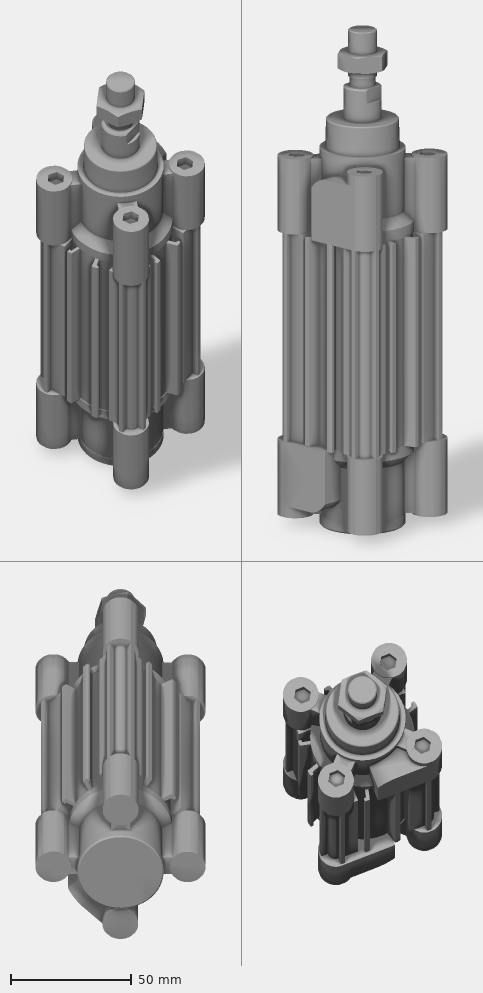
import cadquery as cq
import math


half_width = 27.0
total_height = 213.0
rear_collar_height = 4.5
cover_height = 32.4
tube_length = 89.9
tube_bottom = rear_collar_height + cover_height
tube_top = tube_bottom + tube_length
head_top = tube_top + cover_height

core_radius = 17.7
ring_radius = 21.7
ring_height = 4.7
cone_height = 4.0
collar_radius = 17.9
collar_chamfer = 0.6
boss_radius = 7.5
boss_flat_depth = 0.1
boss_flat = boss_radius - boss_flat_depth
boss_offset = half_width - boss_flat
web_half_width = 4.0
web_fillet = 0.6
web_drop = 0.9
lug_end = 3.8
lug_drop = 5.0
lug_rounding_width = 9.0
lug_rounding_radius = 10.6

head_collar_height = 3.2
cap_top = 174.9
cap_base_radius = 15.5
cap_top_radius = 15.1
cap_rounding = 0.6

screw_offset = 19.2
screw_radius = 4.5
socket_width = 6.4
socket_depth = 4.3

barrel_radius = 21.3
tube_half_width = 26.5
lug_face = 23.9
lug_inner = 11.5
ridge_inner = 18.3
ridge_outer = 20.2
lug_round_radius = 3.5

long_hook_outline = [(20.2, 2.3), (26.2, 4.3), (26.2, 5.5), (25.8, 6.8), (24.7, 6.8), (24.5, 5.5), (20.2, 4.0)]
short_hook_outline = [(20.2, -5.5), (25.3, -6.8), (25.3, -9.0), (23.9, -9.0), (23.9, -7.9), (20.2, -7.0)]

rod_diameter = 16.0
rod_radius = rod_diameter / 2
rod_shoulder = 189.0
rod_chamfer = 0.6
flats_width = 13.0
flats_bottom = 183.0
neck_radius = 5.3
thread_radius = 6.0
thread_bottom = 193.0
thread_chamfer = 0.5

nut_width = 19.0
nut_bottom = 196.2
nut_height = 7.2
nut_corner_drop = 0.6


def at_corners(offset):
    """The four corner points at the given distance from both centre planes."""
    return [(sx * offset, sy * offset) for sx in (-1, 1) for sy in (-1, 1)]


def hexagon(width):
    """Diameter over the corners of a hexagon with the given width across flats."""
    return width / math.cos(math.pi / 6)


def cover_boss():
    """Screw boss on the +X +Y diagonal, with small flats on its square sides and beside the web."""
    square_sides = cq.Workplane("XY").rect(2 * boss_flat, 2 * boss_flat).extrude(cover_height)
    web_sides = (
        cq.Workplane("XY")
        .rect(4 * boss_radius, 2 * boss_flat)
        .extrude(cover_height)
        .rotate((0, 0, 0), (0, 0, 1), 45)
    )
    boss = cq.Workplane("XY").circle(boss_radius).extrude(cover_height)
    boss = boss.intersect(square_sides).intersect(web_sides)
    return boss.translate((boss_offset, boss_offset, 0))


def port_lug():
    """Lug between a boss and the middle of the +Y side, its inner end rounded over."""
    top = cover_height - lug_drop
    rounding_drop = lug_rounding_radius - math.sqrt(lug_rounding_radius**2 - lug_rounding_width**2)
    profile = (
        cq.Workplane("XZ")
        .moveTo(-boss_offset, 0)
        .lineTo(lug_end, 0)
        .lineTo(lug_end, top - rounding_drop)
        .radiusArc((lug_end - lug_rounding_width, top), -lug_rounding_radius)
        .lineTo(-boss_offset, top)
        .close()
        .extrude(-half_width)
    )
    plan = (
        cq.Workplane("XY")
        .polyline([
            (0, 0),
            (-boss_offset, boss_offset),
            (-boss_offset, half_width),
            (lug_end, half_width),
            (lug_end, 0),
        ])
        .close()
        .extrude(top)
    )
    return profile.intersect(plan)


def cover_body():
    """Part shared by both covers, with the tube side on the XY plane."""
    web_height = cover_height - web_drop
    web_length = 2 * math.sqrt(2) * boss_offset
    web = cq.Workplane("XY").rect(web_length, 2 * web_half_width).extrude(web_height)
    body = (
        cq.Workplane("XY")
        .circle(core_radius)
        .extrude(web_height)
        .union(web)
        .union(web.rotate((0, 0, 0), (0, 0, 1), 90))
        .edges("|Z")
        .fillet(web_fillet)
        .rotate((0, 0, 0), (0, 0, 1), 45)
    )

    core_end = cq.Workplane("XY").workplane(offset=web_height).circle(core_radius).extrude(web_drop)
    ring = cq.Workplane("XY").circle(ring_radius).extrude(ring_height + cone_height)
    ring = ring.faces(">Z").chamfer(cone_height, ring_radius - core_radius)
    body = body.union(core_end).union(ring)

    boss = cover_boss()
    for quarter in range(4):
        body = body.union(boss.rotate((0, 0, 0), (0, 0, 1), 90 * quarter))
    return body.union(port_lug())


def make_rear_cover():
    collar = (
        cq.Workplane("XY")
        .circle(collar_radius)
        .extrude(rear_collar_height)
        .faces("<Z")
        .chamfer(collar_chamfer)
    )
    body = cover_body().rotate((0, 0, 0), (0, 1, 0), 180)
    return body.translate((0, 0, tube_bottom)).union(collar)


def make_head_cover():
    collar = (
        cq.Workplane("XY")
        .workplane(offset=head_top)
        .circle(collar_radius)
        .extrude(head_collar_height)
    )
    cap = (
        cq.Workplane("XY")
        .workplane(offset=head_top + head_collar_height)
        .circle(cap_base_radius)
        .workplane(offset=cap_top - head_top - head_collar_height)
        .circle(cap_top_radius)
        .loft(ruled=True)
        .faces(">Z")
        .edges()
        .fillet(cap_rounding)
    )
    cover = cover_body().translate((0, 0, tube_top)).union(collar).union(cap)
    rod_bore = (
        cq.Workplane("XY")
        .workplane(offset=tube_top)
        .circle(rod_radius)
        .extrude(cap_top - tube_top)
    )
    screw_holes = (
        cq.Workplane("XY")
        .workplane(offset=tube_top)
        .pushPoints(at_corners(screw_offset))
        .circle(screw_radius)
        .extrude(cover_height)
    )
    return cover.cut(rod_bore).cut(screw_holes)


def make_tube():
    """Extruded barrel with a stepped, round-nosed lug in each corner and two slot hooks on each side."""
    round_edge = ridge_outer + lug_round_radius
    round_middle = ridge_outer + lug_round_radius * math.sin(math.pi / 4)
    corner_lug = (
        cq.Workplane("XY")
        .moveTo(lug_inner, lug_inner)
        .lineTo(lug_inner, lug_face)
        .lineTo(ridge_inner, lug_face)
        .lineTo(ridge_inner, tube_half_width)
        .lineTo(ridge_outer, tube_half_width)
        .lineTo(ridge_outer, round_edge)
        .threePointArc((round_middle, round_middle), (round_edge, ridge_outer))
        .lineTo(tube_half_width, ridge_outer)
        .lineTo(tube_half_width, ridge_inner)
        .lineTo(lug_face, ridge_inner)
        .lineTo(lug_face, lug_inner)
        .close()
        .extrude(tube_length)
    )
    hooks = [
        cq.Workplane("XY").polyline(outline).close().extrude(tube_length)
        for outline in (long_hook_outline, short_hook_outline)
    ]
    tube = cq.Workplane("XY").circle(barrel_radius).extrude(tube_length)
    for quarter in range(4):
        for feature in (corner_lug, *hooks):
            tube = tube.union(feature.rotate((0, 0, 0), (0, 0, 1), 90 * quarter))
    return tube.translate((0, 0, tube_bottom))


def make_piston_rod():
    rod = (
        cq.Workplane("XZ")
        .polyline([
            (0, tube_top),
            (rod_radius, tube_top),
            (rod_radius, rod_shoulder - rod_chamfer),
            (rod_radius - rod_chamfer, rod_shoulder),
            (neck_radius, rod_shoulder),
            (neck_radius, thread_bottom),
            (thread_radius, thread_bottom),
            (thread_radius, total_height - thread_chamfer),
            (thread_radius - thread_chamfer, total_height),
            (0, total_height),
        ])
        .close()
        .revolve(360, (0, 0, 0), (0, 1, 0))
    )
    for side in (-1, 1):
        beyond_flat = (
            cq.Workplane("XY")
            .workplane(offset=flats_bottom)
            .center(side * (flats_width / 2 + rod_radius), 0)
            .rect(2 * rod_radius, 2 * rod_radius)
            .extrude(rod_shoulder - flats_bottom)
        )
        rod = rod.cut(beyond_flat)
    return rod


def make_nut():
    """Hexagon nut with its corners turned off at both ends."""
    corner_radius = hexagon(nut_width) / 2
    face_radius = nut_width / 2
    turned_outline = (
        cq.Workplane("XZ")
        .polyline([
            (thread_radius, 0),
            (face_radius, 0),
            (corner_radius, nut_corner_drop),
            (corner_radius, nut_height - nut_corner_drop),
            (face_radius, nut_height),
            (thread_radius, nut_height),
        ])
        .close()
        .revolve(360, (0, 0, 0), (0, 1, 0))
    )
    blank = cq.Workplane("XY").polygon(6, hexagon(nut_width)).extrude(nut_height)
    return blank.intersect(turned_outline).translate((0, 0, nut_bottom))


def make_screw(x, y):
    """Screw filling its hole in the head cover, with a hexagon socket in the top."""
    socket = (
        cq.Workplane("XY")
        .workplane(offset=cover_height - socket_depth)
        .polygon(6, hexagon(socket_width))
        .extrude(socket_depth)
    )
    screw = cq.Workplane("XY").circle(screw_radius).extrude(cover_height).cut(socket)
    return screw.translate((x, y, tube_top))


rear_cover = make_rear_cover()
tube = make_tube()
head_cover = make_head_cover()
piston_rod = make_piston_rod()
nut = make_nut()
screws = [make_screw(x, y) for x, y in at_corners(screw_offset)]

result = cq.Compound.makeCompound([
    rear_cover.solids().val(),
    tube.solids().val(),
    head_cover.solids().val(),
    piston_rod.solids().val(),
    nut.solids().val(),
    *[screw.solids().val() for screw in screws],
])